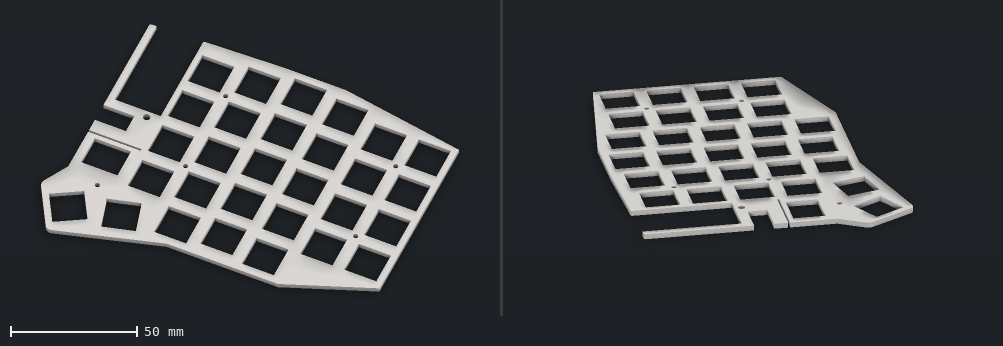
import cadquery as cq

THICKNESS = 2.2

RIGHT_X = 71.7
LEFT_X = -65.5
TOP_Y = 55.8
BOTTOM_Y = -43.2
CORNER_RADIUS = 0.7
THUMB_CORNER_RADIUS = 2.9

SLOPE_END_X = -8.5
SLOPE_DROP = 1.3

NOTCH_X = -42.6
NOTCH_FLOOR_Y = -5.3
SLOPE_RATE = SLOPE_DROP / (SLOPE_END_X - NOTCH_X)

KEY_SIZE = 14.0
KEY_PITCH = 19.0
FIRST_COLUMN_X = -33.3
COLUMN_TOP_KEY_Y = [41.0, 43.5, 45.7, 43.5, 38.4, 38.4]
COLUMN_KEY_COUNT = [4, 5, 5, 5, 4, 4]
THUMB_KEYS = [(-57.2, -42.5, 30), (-36.4, -37.5, 15)]

WINDOW_WIDTH = 15.9
WINDOW_HEIGHT = 13.0
WINDOW_CENTRE = (-53.9, -13.8)

MOUNT_DIAMETER = 2.2
MOUNT_POINTS = [(-23.4, 33.4), (-23.4, -4.9), (52.3, 29.5), (52.3, -8.7), (-51.2, -28.0)]

ARM_WIDTH = 2.9
BAR_TOP_Y = 13.6
SLOT_TOP_Y = 9.3
SLOT_BOTTOM_Y = 1.1
SLOT_END_X = -52.0
BRACKET_GAP = 0.9
BRACKET_HOLE_DIAMETER = 3.0
BRACKET_HOLE = (-47.5, 10.9)


def top_slope_y(x):
    """Height in Y of the sloping top-left edge at a given X."""
    return TOP_Y - SLOPE_RATE * (SLOPE_END_X - x)


def round_corner(body, point, radius):
    """Round the upright edge that stands on the given outline point."""
    edge = body.edges("|Z").edges(cq.selectors.NearestToPointSelector((*point, THICKNESS / 2)))
    return edge.fillet(radius)


def cutter(x, y, width, height, angle=0):
    """Upright rectangular block used to cut an opening through the plate."""
    block = cq.Workplane("XY").rect(width, height).extrude(THICKNESS)
    return block.rotate((0, 0, 0), (0, 0, 1), angle).translate((x, y, 0))


def make_plate():
    notch_top = (NOTCH_X, top_slope_y(NOTCH_X))
    thumb_left = (-72.1, -36.0)
    thumb_bottom = (-60.4, -56.5)
    outline = [
        notch_top,
        (SLOPE_END_X, TOP_Y),
        (18.9, TOP_Y),
        (RIGHT_X, 47.3),
        (RIGHT_X, -28.5),
        (34.3, BOTTOM_Y),
        (-14.2, BOTTOM_Y),
        thumb_bottom,
        thumb_left,
        (LEFT_X, -24.2),
        (LEFT_X, NOTCH_FLOOR_Y),
        (NOTCH_X, NOTCH_FLOOR_Y),
    ]
    plate = cq.Workplane("XY").polyline(outline).close().extrude(THICKNESS)
    plate = round_corner(plate, notch_top, CORNER_RADIUS)
    plate = round_corner(plate, thumb_left, THUMB_CORNER_RADIUS)
    plate = round_corner(plate, thumb_bottom, THUMB_CORNER_RADIUS)

    for column, top_key_y in enumerate(COLUMN_TOP_KEY_Y):
        x = FIRST_COLUMN_X + column * KEY_PITCH
        for row in range(COLUMN_KEY_COUNT[column]):
            plate = plate.cut(cutter(x, top_key_y - row * KEY_PITCH, KEY_SIZE, KEY_SIZE))

    for x, y, angle in THUMB_KEYS:
        plate = plate.cut(cutter(x, y, KEY_SIZE, KEY_SIZE, angle))

    plate = plate.cut(cutter(*WINDOW_CENTRE, WINDOW_WIDTH, WINDOW_HEIGHT))

    mounts = cq.Workplane("XY").pushPoints(MOUNT_POINTS).circle(MOUNT_DIAMETER / 2).extrude(THICKNESS)
    return plate.cut(mounts)


def make_bracket():
    arm_inner_x = LEFT_X + ARM_WIDTH
    bottom_y = NOTCH_FLOOR_Y + BRACKET_GAP
    arm_tip = (LEFT_X, top_slope_y(LEFT_X))
    outline = [
        arm_tip,
        (arm_inner_x, top_slope_y(arm_inner_x)),
        (arm_inner_x, BAR_TOP_Y),
        (NOTCH_X, BAR_TOP_Y),
        (NOTCH_X, bottom_y),
        (LEFT_X, bottom_y),
        (LEFT_X, SLOT_BOTTOM_Y),
        (SLOT_END_X, SLOT_BOTTOM_Y),
        (SLOT_END_X, SLOT_TOP_Y),
        (LEFT_X, SLOT_TOP_Y),
    ]
    bracket = cq.Workplane("XY").polyline(outline).close().extrude(THICKNESS)
    bracket = round_corner(bracket, arm_tip, CORNER_RADIUS)
    hole = cq.Workplane("XY").center(*BRACKET_HOLE).circle(BRACKET_HOLE_DIAMETER / 2).extrude(THICKNESS)
    return bracket.cut(hole)


plate = make_plate()
bracket = make_bracket()

result = cq.Compound.makeCompound([*plate.solids().vals(), *bracket.solids().vals()])